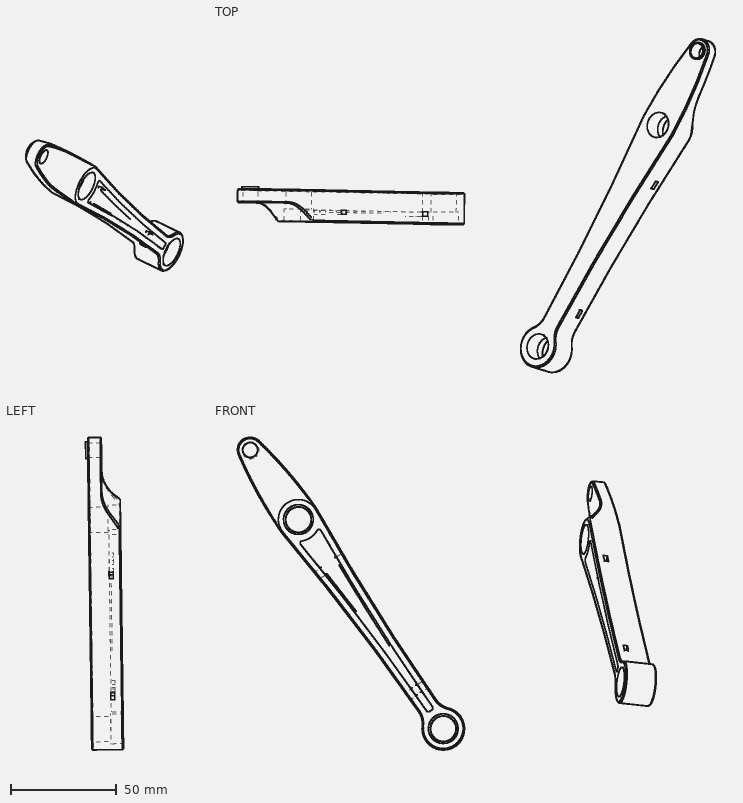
import cadquery as cq
import math

THICKNESS = 15.0
RING_X = 120.0
LUG_X = -40.0
HUB_RADIUS = 10.0
RING_RADIUS = 10.0
LUG_RADIUS = 6.0
NECK_HALF_WIDTH = 5.0
NECK_FILLET = 10.0
EDGE_CHAMFER = 0.6

LUG_THICKNESS = 6.5
SCOOP_OUTER_RADIUS = 23.3
RIM_BEVEL = 1.1

BORE_RADIUS = 7.0
BORE_DEPTH = 6.0
SHOULDER_HOLE_RADIUS = 6.0
LUG_HOLE_RADIUS = 3.5
LUG_BOSS_RADIUS = 4.0
LUG_BOSS_HEIGHT = 1.0

POCKET_DEPTH = 5.7
POCKET_MARGIN = 3.3
POCKET_END_RADIUS = 10.3
POCKET_CORNER = 1.0
POCKET_FLOOR_FILLET = 0.85

WINDOW_XS = (26.6, 97.8)
WINDOW_LENGTH = 4.0
WINDOW_HEIGHT = 2.0

ARM_SLOPE = 55.285
ARM_TILT = 0.644

HUB = (0.0, 0.0)
RING = (RING_X, 0.0)
LUG = (LUG_X, 0.0)
FILLET_Z = NECK_HALF_WIDTH + NECK_FILLET
NECK_X = RING_X - math.sqrt((RING_RADIUS + NECK_FILLET) ** 2 - FILLET_Z**2)
FILLET_CENTER = (NECK_X, FILLET_Z)
ARM_ARC_RADIUS = (NECK_X**2 + NECK_HALF_WIDTH**2 - HUB_RADIUS**2) / (2 * (HUB_RADIUS - NECK_HALF_WIDTH))
ARM_ARC_CENTER = (NECK_X, NECK_HALF_WIDTH + ARM_ARC_RADIUS)
FLANK_RADIUS = (LUG_X**2 + HUB_RADIUS**2 - LUG_RADIUS**2) / (2 * (HUB_RADIUS - LUG_RADIUS))
FLANK_CENTER = (0.0, HUB_RADIUS - FLANK_RADIUS)


def polar(center, radius, angle):
    """Point on a circle."""
    return (center[0] + radius * math.cos(angle), center[1] + radius * math.sin(angle))


def toward(start, target, distance):
    """Point at a distance from start, on the line to target."""
    return polar(start, distance, math.atan2(target[1] - start[1], target[0] - start[0]))


def arc_middle(start, end, center, radius):
    """Middle of the short arc from start to end about a center."""
    return toward(center, ((start[0] + end[0]) / 2, (start[1] + end[1]) / 2), radius)


def mirrored(point):
    """Point reflected in the lever axis."""
    return (point[0], -point[1])


def circles_meet(center_a, radius_a, center_b, radius_b, side):
    """Meeting point of two circles, left (+1) or right (-1) of the line from a to b."""
    span = math.dist(center_a, center_b)
    along = (radius_a**2 - radius_b**2 + span**2) / (2 * span)
    heading = math.atan2(center_b[1] - center_a[1], center_b[0] - center_a[0])
    return polar(center_a, radius_a, heading + side * math.acos(along / radius_a))


def cylinder(x, radius, back_y, front_y):
    """Cylinder across the lever, from back_y forward to front_y."""
    return cq.Workplane("XZ", origin=(x, back_y, 0)).circle(radius).extrude(back_y - front_y)


def lever_blank():
    """Full-thickness plate with the outline of lug, hub, arm and ring."""
    lug_top = toward(FLANK_CENTER, LUG, FLANK_RADIUS)
    hub_top = (0.0, HUB_RADIUS)
    arm_start = toward(HUB, ARM_ARC_CENTER, HUB_RADIUS)
    neck = (NECK_X, NECK_HALF_WIDTH)
    ring_top = toward(RING, FILLET_CENTER, RING_RADIUS)

    flank_middle = arc_middle(lug_top, hub_top, FLANK_CENTER, FLANK_RADIUS)
    hub_middle = arc_middle(hub_top, arm_start, HUB, HUB_RADIUS)
    arm_middle = arc_middle(arm_start, neck, ARM_ARC_CENTER, ARM_ARC_RADIUS)
    neck_middle = arc_middle(neck, ring_top, FILLET_CENTER, NECK_FILLET)
    outline = (
        cq.Workplane("XZ")
        .moveTo(*lug_top)
        .threePointArc(flank_middle, hub_top)
        .threePointArc(hub_middle, arm_start)
        .threePointArc(arm_middle, neck)
        .threePointArc(neck_middle, ring_top)
        .threePointArc((RING_X + RING_RADIUS, 0), mirrored(ring_top))
        .threePointArc(mirrored(neck_middle), mirrored(neck))
        .threePointArc(mirrored(arm_middle), mirrored(arm_start))
        .threePointArc(mirrored(hub_middle), mirrored(hub_top))
        .threePointArc(mirrored(flank_middle), mirrored(lug_top))
        .threePointArc((LUG_X - LUG_RADIUS, 0), lug_top)
        .close()
    )
    return outline.extrude(THICKNESS)


def pocket():
    """Long tapering pocket in the front face, following the arm edges."""
    wall_radius = ARM_ARC_RADIUS + POCKET_MARGIN
    hub_corner = circles_meet(HUB, POCKET_END_RADIUS, ARM_ARC_CENTER, wall_radius, -1)
    ring_corner = circles_meet(RING, POCKET_END_RADIUS, ARM_ARC_CENTER, wall_radius, 1)
    wall_middle = arc_middle(hub_corner, ring_corner, ARM_ARC_CENTER, wall_radius)
    outline = (
        cq.Workplane("XZ", origin=(0, POCKET_DEPTH - THICKNESS, 0))
        .moveTo(*hub_corner)
        .threePointArc(wall_middle, ring_corner)
        .threePointArc((RING_X - POCKET_END_RADIUS, 0), mirrored(ring_corner))
        .threePointArc(mirrored(wall_middle), mirrored(hub_corner))
        .threePointArc((POCKET_END_RADIUS, 0), hub_corner)
        .close()
    )
    block = outline.extrude(POCKET_DEPTH).edges("|Y").fillet(POCKET_CORNER)
    return block.faces(">Y").edges().fillet(POCKET_FLOOR_FILLET)


def lug_scoop():
    """Material in front of the lug: a body of revolution about the hub axis, lug side only."""
    rim_inner = HUB_RADIUS - EDGE_CHAMFER
    rim_outer = rim_inner + RIM_BEVEL
    rim_y = RIM_BEVEL - THICKNESS
    lug_y = -LUG_THICKNESS
    run = SCOOP_OUTER_RADIUS - rim_outer
    rise = lug_y - rim_y
    scoop_radius = (run**2 + rise**2) / (2 * rise)
    scoop_start = (rim_outer, rim_y)
    scoop_end = (SCOOP_OUTER_RADIUS, lug_y)
    scoop_center = (SCOOP_OUTER_RADIUS, lug_y - scoop_radius)
    reach = 2 * LUG_RADIUS - LUG_X
    turned = (
        cq.Workplane("XY")
        .moveTo(rim_inner, -THICKNESS)
        .lineTo(*scoop_start)
        .threePointArc(arc_middle(scoop_start, scoop_end, scoop_center, scoop_radius), scoop_end)
        .lineTo(reach, lug_y)
        .lineTo(reach, -THICKNESS)
        .close()
        .revolve(360, (0, 0, 0), (0, 1, 0))
    )
    lug_side = cq.Workplane("XY").box(reach, 2 * THICKNESS, 2 * reach).translate((-reach / 2, -THICKNESS, 0))
    return turned.intersect(lug_side)


def chamfer_lug_edges(body):
    """Chamfer the edges of lug face and scoop, but not the line where the scoop runs out.

    If the kernel cannot build the chamfer, the edges stay sharp.
    """
    rim_y = RIM_BEVEL - THICKNESS
    back = -LUG_THICKNESS + EDGE_CHAMFER
    reach = 2 * LUG_RADIUS - LUG_X
    lug_tip = cq.selectors.BoxSelector((-reach, rim_y, -HUB_RADIUS), (LUG_X, back, HUB_RADIUS))
    upper_edge = cq.selectors.BoxSelector((-reach, rim_y, LUG_RADIUS), (-RIM_BEVEL, back, HUB_RADIUS))
    lower_edge = cq.selectors.BoxSelector((-reach, rim_y, -HUB_RADIUS), (-RIM_BEVEL, back, -LUG_RADIUS))
    lug_edges = body.edges(lug_tip + upper_edge + lower_edge)
    try:
        return lug_edges.chamfer(EDGE_CHAMFER)
    except Exception:
        return body


def windows():
    """Bars for the openings through both arm sides, level with the pocket floor."""
    center_y = POCKET_DEPTH - THICKNESS - WINDOW_HEIGHT / 2
    centers = [(x, center_y) for x in WINDOW_XS]
    return cq.Workplane("XY").pushPoints(centers).box(WINDOW_LENGTH, WINDOW_HEIGHT, 4 * HUB_RADIUS)


def stepped_bore(x):
    """Front bore with a smaller hole through its shoulder."""
    bore = cylinder(x, BORE_RADIUS, BORE_DEPTH - THICKNESS, -THICKNESS)
    return bore.union(cylinder(x, SHOULDER_HOLE_RADIUS, 0, -THICKNESS))


body = lever_blank().faces("<Y or >Y").edges().chamfer(EDGE_CHAMFER)
body = chamfer_lug_edges(body.cut(lug_scoop()))
body = body.cut(pocket()).cut(windows())
body = body.union(cylinder(LUG_X, LUG_BOSS_RADIUS, LUG_BOSS_HEIGHT, -LUG_THICKNESS / 2))
body = body.cut(cylinder(LUG_X, LUG_HOLE_RADIUS, LUG_BOSS_HEIGHT, -THICKNESS))
for center_x in (HUB[0], RING_X):
    body = body.cut(stepped_bore(center_x))

result = body.rotate((0, 0, 0), (0, 0, 1), -ARM_TILT).rotate((0, 0, 0), (0, 1, 0), ARM_SLOPE)